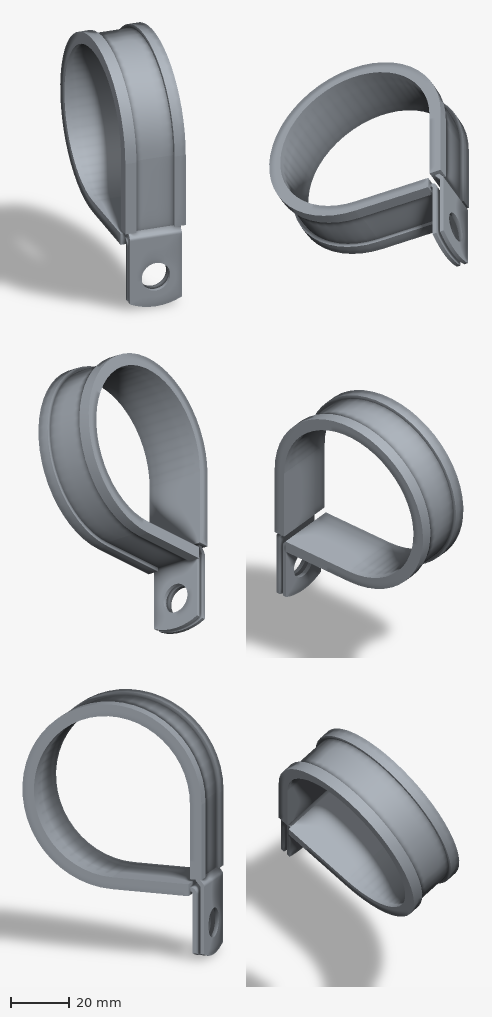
import cadquery as cq
import math

overall_height = 88.4

outer_radius = 32.8
cushion_thickness = 4.2
cushion_width = 22.1
upright_leg_end_z = -26.7
lower_leg_end_x = 28.0
groove_depth = 1.3
groove_width = 14.0

strap_thickness = 1.4
strap_width = 19.0
strap_outer_radius = outer_radius - groove_depth
strap_inner_radius = strap_outer_radius - strap_thickness

inner_tab_x = 29.0
outer_tab_x = 31.8
tab_bottom_z = outer_radius - overall_height
tab_tip_height = 2.2
hole_diameter = 10.4
hole_z = -44.4
bend_inner_radius = 0.7
joggle_start_z = -27.3
joggle_end_z = -29.4
shoulder_z = -28.9


def extrude_centered(profile, width):
    """Extrude an XZ profile symmetrically along Y."""
    return profile.extrude(width).translate((0, width / 2, 0))


def loop_band(inner, outer, width):
    """Three-quarter ring running tangentially into the two straight legs."""
    outer_mid = outer * math.sqrt(0.5)
    inner_mid = inner * math.sqrt(0.5)
    profile = (
        cq.Workplane("XZ")
        .moveTo(outer, upright_leg_end_z)
        .lineTo(outer, 0)
        .threePointArc((-outer_mid, outer_mid), (0, -outer))
        .lineTo(lower_leg_end_x, -outer)
        .lineTo(lower_leg_end_x, -inner)
        .lineTo(0, -inner)
        .threePointArc((-inner_mid, inner_mid), (inner, 0))
        .lineTo(inner, upright_leg_end_z)
        .close()
    )
    return extrude_centered(profile, width)


def inner_tab():
    """Tab bent straight down from the end of the lower leg."""
    bend_outer_radius = bend_inner_radius + strap_thickness
    bend_x = inner_tab_x - bend_inner_radius
    bend_z = -strap_inner_radius - bend_outer_radius
    profile = (
        cq.Workplane("XZ")
        .moveTo(lower_leg_end_x, -strap_inner_radius)
        .lineTo(bend_x, -strap_inner_radius)
        .radiusArc((inner_tab_x + strap_thickness, bend_z), bend_outer_radius)
        .lineTo(inner_tab_x + strap_thickness, tab_bottom_z)
        .lineTo(inner_tab_x, tab_bottom_z)
        .lineTo(inner_tab_x, bend_z)
        .radiusArc((bend_x, -strap_outer_radius), -bend_inner_radius)
        .lineTo(lower_leg_end_x, -strap_outer_radius)
        .close()
    )
    return extrude_centered(profile, strap_width)


def outer_tab():
    """Tab stepped outward by a slanted joggle below the upright leg."""
    outer_face_x = outer_tab_x + strap_thickness
    profile = (
        cq.Workplane("XZ")
        .moveTo(strap_inner_radius, upright_leg_end_z)
        .lineTo(strap_inner_radius, joggle_start_z)
        .lineTo(outer_tab_x, joggle_end_z)
        .lineTo(outer_tab_x, tab_bottom_z)
        .lineTo(outer_face_x, tab_bottom_z)
        .lineTo(outer_face_x, shoulder_z)
        .lineTo(strap_outer_radius, upright_leg_end_z)
        .close()
    )
    shoulder = cq.selectors.NearestToPointSelector((outer_face_x, 0, shoulder_z))
    return extrude_centered(profile, strap_width).edges("|Y").edges(shoulder).fillet(strap_thickness)


def tab_outline():
    """Bolt hole and rounded tip shared by both tabs, as a solid along X."""
    half_width = strap_width / 2
    side_end_z = tab_bottom_z + tab_tip_height
    return (
        cq.Workplane("YZ")
        .moveTo(-half_width, 0)
        .lineTo(-half_width, side_end_z)
        .threePointArc((0, tab_bottom_z), (half_width, side_end_z))
        .lineTo(half_width, 0)
        .close()
        .moveTo(0, hole_z)
        .circle(hole_diameter / 2)
        .extrude(outer_radius + strap_thickness)
    )


cushion = loop_band(outer_radius - cushion_thickness, outer_radius, cushion_width)
groove = loop_band(strap_outer_radius, outer_radius, groove_width)
strap = loop_band(strap_inner_radius, strap_outer_radius, strap_width)
tabs = inner_tab().union(outer_tab()).intersect(tab_outline())

result = cushion.cut(groove).union(strap).union(tabs)